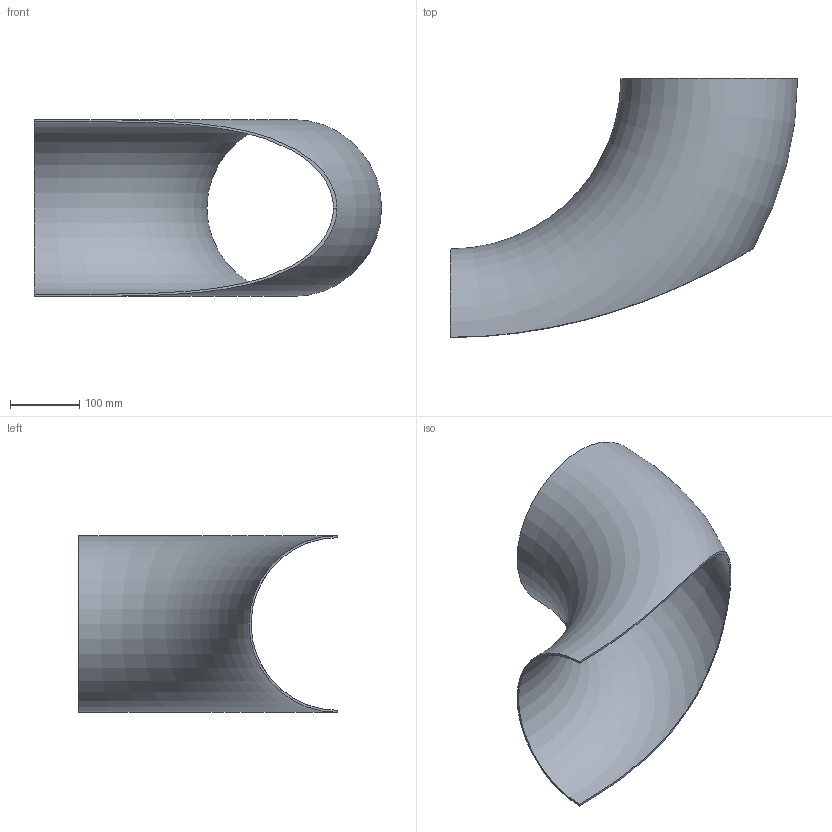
import cadquery as cq

outer_diameter = 256.1
wall_thickness = 3.0
bend_radius = 375.0
bend_angle = 90.0

outer_radius = outer_diameter / 2
inner_radius = outer_radius - wall_thickness

saddle_length = bend_radius + outer_diameter
saddle_rise = saddle_length**2 / (4 * bend_radius)
cutter_depth = bend_radius + outer_diameter
cutter_height = 2 * outer_diameter


def make_elbow():
    """Hollow quarter bend from the XZ plane (y = 0) to the YZ plane (x = 0)."""
    return (
        cq.Workplane("XZ")
        .center(bend_radius, 0)
        .circle(outer_radius)
        .circle(inner_radius)
        .revolve(bend_angle, (-bend_radius, 0), (-bend_radius, -1))
    )


def make_saddle_cutter():
    """Everything beyond the parabola, as a block tall enough to pass the tube."""
    parabola_start = (0, -bend_radius)
    parabola_control = (saddle_length / 2, -bend_radius)
    parabola_end = (saddle_length, saddle_rise - bend_radius)
    return (
        cq.Workplane("XY")
        .moveTo(*parabola_start)
        .bezier([parabola_start, parabola_control, parabola_end])
        .lineTo(saddle_length, -cutter_depth)
        .lineTo(0, -cutter_depth)
        .close()
        .extrude(cutter_height / 2, both=True)
    )


result = make_elbow().cut(make_saddle_cutter())